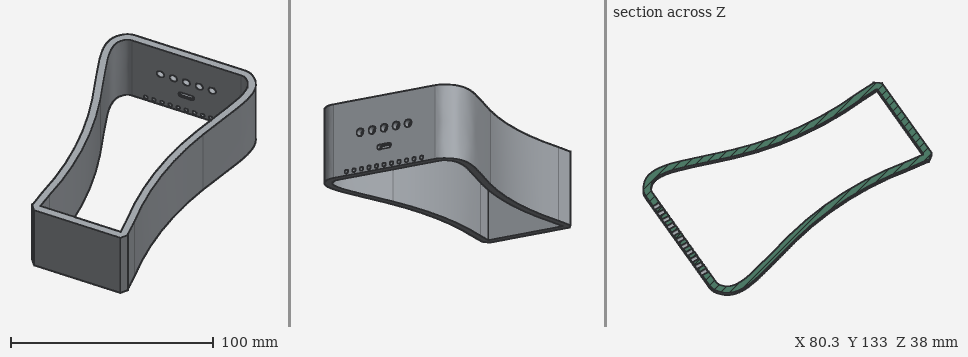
import cadquery as cq
import math

HEIGHT = 38.0
LENGTH = 133.0
WIDTH = 80.29
WALL = 4.0

FRONT_HALF_WIDTH = 23.4
BEVEL_HALF_WIDTH = 26.05
BEVEL_DEPTH = 3.4
BEVEL_OVERHANG = 0.3

WAIST_FRONT = (24.95, 13.0)
WAIST_FRONT_SLOPE = -0.13
WAIST_MIDDLE = (23.2, 36.0)
WAIST_BACK = (30.0, 83.0)
WAIST_BACK_SLOPE = 0.31

SWELL = (38.2, 109.0)
SWELL_SLOPE = 0.29
WIDEST_Y = 120.5
CORNER = (37.0, 129.4)
BACK_HALF_WIDTH = 29.6

LARGE_HOLE_DIAMETER = 4.0
LARGE_HOLE_COUNT = 5
LARGE_HOLE_PITCH = 7.0
LARGE_HOLE_Z = 21.0
SMALL_HOLE_DIAMETER = 2.0
SMALL_HOLE_COUNT = 11
SMALL_HOLE_PITCH = 4.4
SMALL_HOLE_Z = 2.0
SLOT_LENGTH = 8.0
SLOT_HEIGHT = 2.5
SLOT_RIM = 0.25
SLOT_RIM_DEPTH = 1.0
SLOT_Z = 11.5


def mirrored(point):
    return (-point[0], point[1])


def shifted_inward(point, direction, inset):
    """Move a point on the right side to the left of its travel direction by the inset."""
    length = math.hypot(*direction)
    return (
        point[0] - inset * direction[1] / length,
        point[1] + inset * direction[0] / length,
    )


def closed_profile(front_points, inset):
    """Closed loop symmetric about X = 0.

    The right half starts with the given front points, then follows the outer side wall
    moved inward by the inset. The left half is its mirror image.
    """
    along_y = (0, 1)
    waist_front = shifted_inward(WAIST_FRONT, (WAIST_FRONT_SLOPE, 1), inset)
    waist_middle = shifted_inward(WAIST_MIDDLE, along_y, inset)

    right_points = [WAIST_BACK, SWELL, (WIDTH / 2, WIDEST_Y), CORNER, (BACK_HALF_WIDTH, LENGTH)]
    right_directions = [(WAIST_BACK_SLOPE, 1), (SWELL_SLOPE, 1), along_y, (-1, 1), (-1, 0)]
    right_corner = [
        shifted_inward(point, direction, inset)
        for point, direction in zip(right_points, right_directions)
    ]
    left_corner = [mirrored(point) for point in reversed(right_corner)]
    left_directions = [(x, -y) for x, y in reversed(right_directions)]

    left_front_points = [mirrored(point) for point in reversed(front_points)]
    return (
        cq.Workplane("XY")
        .polyline(front_points + [waist_front])
        .threePointArc(waist_middle, right_corner[0])
        .spline(right_corner, tangents=right_directions)
        .lineTo(*left_corner[0])
        .spline(left_corner, tangents=left_directions)
        .threePointArc(mirrored(waist_middle), mirrored(waist_front))
        .polyline(left_front_points, includeCurrent=True)
        .close()
    )


def band():
    """Closed loop of wall standing on Z = 0, with the front wall on Y = 0."""
    side_half_width = BEVEL_HALF_WIDTH - BEVEL_OVERHANG
    outer_front = [
        (FRONT_HALF_WIDTH, 0),
        (BEVEL_HALF_WIDTH, BEVEL_DEPTH),
        (side_half_width, BEVEL_DEPTH),
    ]
    inner_front = [(side_half_width - WALL, WALL)]
    outside = closed_profile(outer_front, 0).extrude(HEIGHT)
    inside = closed_profile(inner_front, WALL).extrude(HEIGHT)
    return outside.cut(inside)


def back_wall_plane(z):
    """Sketch plane on the outer back face, facing the inside of the band."""
    return cq.Workplane(cq.Plane(origin=(0, LENGTH, z), xDir=(1, 0, 0), normal=(0, -1, 0)))


def hole_row(diameter, count, pitch, z):
    return back_wall_plane(z).rarray(pitch, 1, count, 1).circle(diameter / 2).extrude(WALL)


def slot():
    """Through slot with a slightly wider, shallow recess on the inside of the back wall."""
    through = back_wall_plane(SLOT_Z).slot2D(SLOT_LENGTH, SLOT_HEIGHT).extrude(WALL)
    recess = (
        back_wall_plane(SLOT_Z)
        .workplane(offset=WALL - SLOT_RIM_DEPTH)
        .slot2D(SLOT_LENGTH + 2 * SLOT_RIM, SLOT_HEIGHT + 2 * SLOT_RIM)
        .extrude(SLOT_RIM_DEPTH)
    )
    return through.union(recess)


large_holes = hole_row(LARGE_HOLE_DIAMETER, LARGE_HOLE_COUNT, LARGE_HOLE_PITCH, LARGE_HOLE_Z)
small_holes = hole_row(SMALL_HOLE_DIAMETER, SMALL_HOLE_COUNT, SMALL_HOLE_PITCH, SMALL_HOLE_Z)

result = band().cut(large_holes).cut(small_holes).cut(slot())